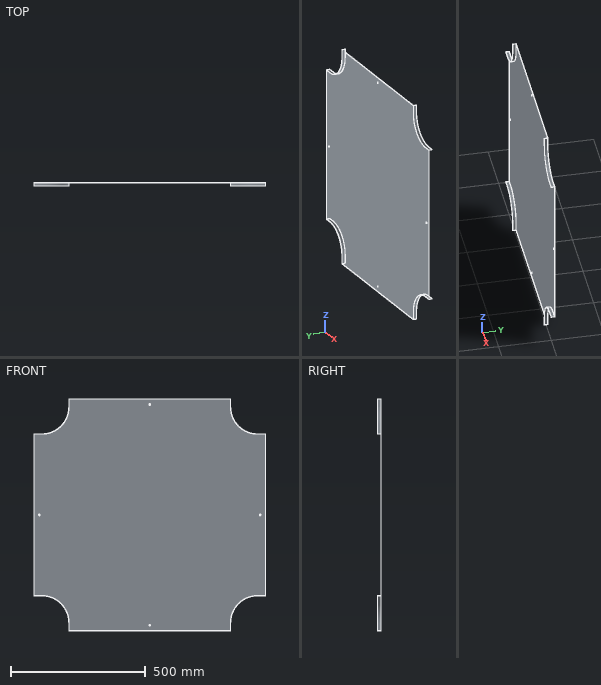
import cadquery as cq
import math

side = 862.0
depth = 14.0
sheet = 1.0
notch_radius = 100.0
notch_straight = 30.0
hole_diameter = 5.0
hole_edge_distance = 21.0

half = side / 2
notch = notch_radius + notch_straight
back = depth / 2


def notched_square(wall):
    """Panel outline cut back by an extra wall along the notches, extruded to full depth in -Y."""
    inner = half - notch - wall
    arc_start = half - notch_straight
    radius = notch_radius + wall
    arc_middle = arc_start - radius * math.sqrt(0.5)

    outline = cq.Workplane("XZ", origin=(0, back, 0)).moveTo(inner, half)
    for x_dir, z_dir in ((1, 1), (1, -1), (-1, -1), (-1, 1)):
        on_z_side = [(inner, half), (inner, arc_start)]
        on_x_side = [(arc_start, inner), (half, inner)]
        path = on_z_side + [(arc_middle, arc_middle)] + on_x_side
        if x_dir != z_dir:
            path.reverse()
        first, start, middle, end, last = [(x_dir * x, z_dir * z) for x, z in path]
        if (x_dir, z_dir) != (1, 1):
            outline = outline.lineTo(*first)
        outline = outline.lineTo(*start).threePointArc(middle, end).lineTo(*last)
    return outline.close().extrude(depth)


def mounting_holes():
    """One through hole near the middle of each panel edge."""
    reach = half - hole_edge_distance
    centres = [(reach, 0), (-reach, 0), (0, reach), (0, -reach)]
    plane = cq.Workplane("XZ", origin=(0, back, 0))
    return plane.pushPoints(centres).circle(hole_diameter / 2).extrude(depth)


front_space = cq.Workplane("XY").box(side, depth, side).translate((0, -sheet, 0))
hollow = notched_square(sheet).intersect(front_space)

result = notched_square(0).cut(hollow).cut(mounting_holes())